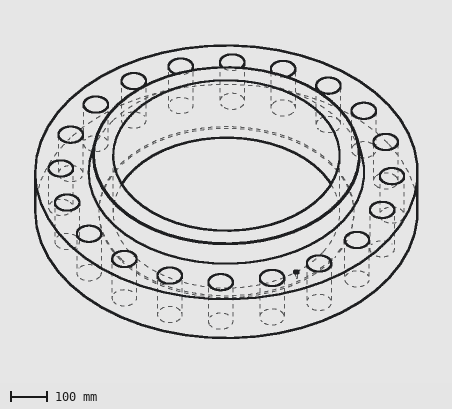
import cadquery as cq

flange_diameter = 1041.0
flange_thickness = 142.0
bore_diameter = 616.0

raised_face_diameter = 694.0
raised_face_height = 6.0

hub_base_diameter = 750.0
hub_top_diameter = 726.0
hub_height = 61.0
hub_bevel_width = 2.0
hub_bevel_height = 1.0

bolt_count = 20
bolt_circle_diameter = 902.0
bolt_hole_diameter = 67.0

small_hole_diameter = 6.0
countersink_diameter = 12.0
small_hole_depth = 21.0

flange_bottom = raised_face_height
flange_top = flange_bottom + flange_thickness
hub_top = flange_top + hub_height


def ring_body():
    """Revolve the half section of the ring about the Z axis."""
    section = [
        (bore_diameter / 2, 0),
        (raised_face_diameter / 2, 0),
        (raised_face_diameter / 2, flange_bottom),
        (flange_diameter / 2, flange_bottom),
        (flange_diameter / 2, flange_top),
        (hub_base_diameter / 2, flange_top),
        (hub_top_diameter / 2, hub_top - hub_bevel_height),
        (hub_top_diameter / 2 - hub_bevel_width, hub_top),
        (bore_diameter / 2, hub_top),
    ]
    return cq.Workplane("XZ").polyline(section).close().revolve(360, (0, 0, 0), (0, 1, 0))


def bolt_holes():
    """Cylinders for the bolt holes, spaced evenly and starting on +X."""
    return (
        cq.Workplane("XY")
        .polarArray(bolt_circle_diameter / 2, 0, 360, bolt_count)
        .circle(bolt_hole_diameter / 2)
        .extrude(flange_top)
    )


def small_hole():
    """Countersunk blind hole, half a bolt pitch from +X."""
    radius = small_hole_diameter / 2
    mouth_radius = countersink_diameter / 2
    countersink_depth = mouth_radius - radius
    section = [
        (0, flange_top),
        (mouth_radius, flange_top),
        (radius, flange_top - countersink_depth),
        (radius, flange_top - small_hole_depth),
        (0, flange_top - small_hole_depth),
    ]
    drill = cq.Workplane("XZ").polyline(section).close().revolve(360, (0, 0, 0), (0, 1, 0))
    half_pitch = 360 / bolt_count / 2
    return drill.translate((bolt_circle_diameter / 2, 0, 0)).rotate((0, 0, 0), (0, 0, 1), half_pitch)


result = ring_body().cut(bolt_holes()).cut(small_hole())